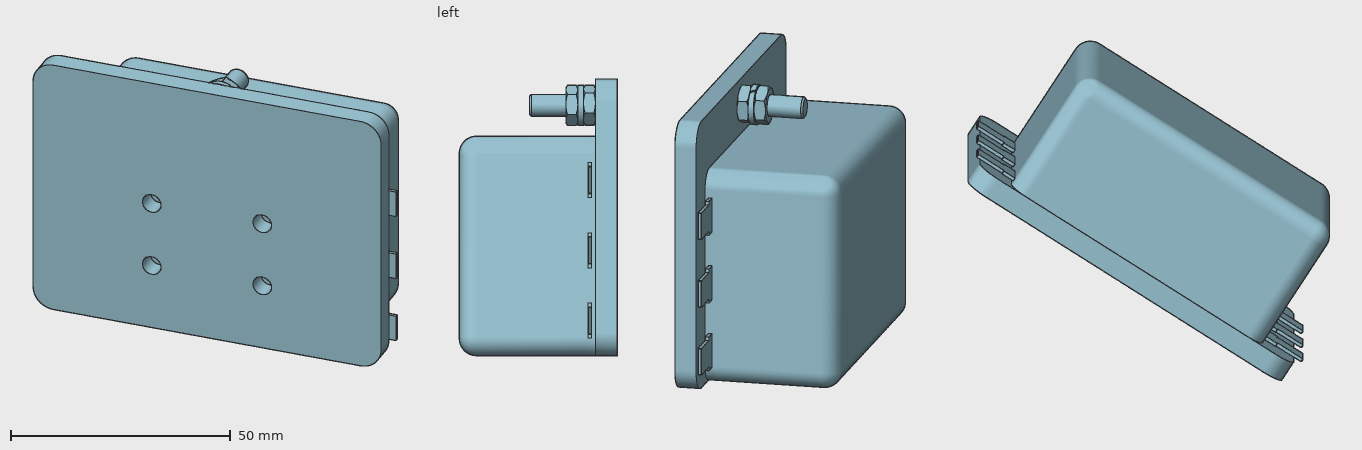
import cadquery as cq
import math


PLATE_WIDTH = 85.0
PLATE_HEIGHT = 63.0
PLATE_THICKNESS = 5.0
PLATE_CORNER_RADIUS = 5.0
HOLE_DIAMETER = 4.5
HOLE_SPACING_X = 27.0
HOLE_SPACING_Z = 16.0
HOLE_CENTER_Z = 24.0

STUD_DIAMETER = 5.0
STUD_TIP_DIAMETER = 4.13
STUD_LENGTH = 15.0
STUD_Z = 57.0

BOX_WIDTH = 68.0
BOX_HEIGHT = 50.0
BOX_DEPTH = 31.0
BOX_RADIUS = 4.0
BASE_DEPTH = 2.0
TERMINAL_SPAN = 88.0
SHOULDER_SPAN = 74.0
TERMINAL_WIDTH = 6.3
SHOULDER_WIDTH = 8.0
TERMINAL_THICKNESS = 0.8
TERMINAL_GAP = 0.83
TERMINAL_TIP_CHAMFER = 0.15
TERMINAL_PITCH = 16.0
TERMINAL_CENTER_Z = 24.0
TERMINAL_ROWS = (-1, 0, 1)

NUT_ACROSS_FLATS = 8.0
NUT_THICKNESS = 2.7
NUT_CHAMFER_ANGLE = 30.0
INNER_NUT_TURN = 8.0
OUTER_NUT_TURN = 2.5
WASHER_DIAMETER = 9.2
WASHER_THICKNESS = 1.3
WASHER_SLIT_WIDTH = 0.4
WASHER_SLIT_TURN = 34.0
WASHER_SLIT_LEAN = 20.0

PLATE_BACK = PLATE_THICKNESS
WASHER_FACE = PLATE_BACK + NUT_THICKNESS
OUTER_NUT_FACE = WASHER_FACE + WASHER_THICKNESS
NUT_CORNER_RADIUS = NUT_ACROSS_FLATS / math.sqrt(3)
NUT_CHAMFER_WIDTH = NUT_CORNER_RADIUS - NUT_ACROSS_FLATS / 2
NUT_CHAMFER_HEIGHT = NUT_CHAMFER_WIDTH * math.tan(math.radians(NUT_CHAMFER_ANGLE))


def block(width, depth, height, y_start, z_center):
    """Box centred on X, reaching from y_start towards +Y."""
    return cq.Workplane("XY").box(width, depth, height).translate((0, y_start + depth / 2, z_center))


def plane_at(y, z):
    """Plane facing +Y, with its local X along +X."""
    return cq.Plane(origin=(0, y, z), xDir=(1, 0, 0), normal=(0, 1, 0))


def make_plate():
    """Rounded plate with four through holes, and the chamfered stud standing on its back."""
    plate = block(PLATE_WIDTH, PLATE_THICKNESS, PLATE_HEIGHT, 0, PLATE_HEIGHT / 2)
    plate = plate.edges("|Y").fillet(PLATE_CORNER_RADIUS)
    holes = (
        cq.Workplane(plane_at(0, HOLE_CENTER_Z))
        .rarray(HOLE_SPACING_X, HOLE_SPACING_Z, 2, 2)
        .circle(HOLE_DIAMETER / 2)
        .extrude(PLATE_THICKNESS)
    )
    stud = cq.Workplane(plane_at(PLATE_BACK, STUD_Z)).circle(STUD_DIAMETER / 2).extrude(STUD_LENGTH)
    stud = stud.faces(">Y").chamfer((STUD_DIAMETER - STUD_TIP_DIAMETER) / 2)
    return plate.cut(holes).union(stud)


def make_terminal_pair(z):
    """Shouldered flat strip across the box, ending in a blade tip on each side."""
    y_start = PLATE_BACK + TERMINAL_GAP
    blades = block(TERMINAL_SPAN, TERMINAL_THICKNESS, TERMINAL_WIDTH, y_start, z)
    blades = blades.faces("<X or >X").chamfer(TERMINAL_TIP_CHAMFER)
    shoulders = block(SHOULDER_SPAN, TERMINAL_THICKNESS, SHOULDER_WIDTH, y_start, z)
    return blades.union(shoulders)


def make_module():
    """Rounded box on a shallow base of the same outline, with three terminals on each side."""
    box = block(BOX_WIDTH, BOX_DEPTH, BOX_HEIGHT, PLATE_BACK, BOX_HEIGHT / 2)
    box = box.edges("|Y").fillet(BOX_RADIUS).faces(">Y").edges().fillet(BOX_RADIUS)
    base_space = block(BOX_WIDTH, BASE_DEPTH, BOX_HEIGHT, PLATE_BACK, BOX_HEIGHT / 2)
    base = box.intersect(base_space)
    for row in TERMINAL_ROWS:
        base = base.union(make_terminal_pair(TERMINAL_CENTER_Z + row * TERMINAL_PITCH))
    return box.cut(base_space).union(base, clean=False)


def make_nut(y_start, turn):
    """Hexagon nut, chamfered on both faces; turn is the angle of its top corner from +Z towards +X."""
    hexagon = (
        cq.Workplane(plane_at(y_start, STUD_Z))
        .transformed(rotate=(0, 0, 90 + turn))
        .polygon(6, 2 * NUT_CORNER_RADIUS)
        .extrude(NUT_THICKNESS)
    )
    envelope = (
        cq.Workplane(plane_at(y_start, STUD_Z))
        .circle(NUT_CORNER_RADIUS)
        .extrude(NUT_THICKNESS)
        .faces("<Y or >Y")
        .chamfer(NUT_CHAMFER_HEIGHT, NUT_CHAMFER_WIDTH)
    )
    bore = cq.Workplane(plane_at(y_start, STUD_Z)).circle(STUD_DIAMETER / 2).extrude(NUT_THICKNESS)
    return hexagon.intersect(envelope).cut(bore)


def make_washer():
    """Lock washer: a ring cut through at one side by a leaning slit."""
    ring = (
        cq.Workplane(plane_at(WASHER_FACE, STUD_Z))
        .circle(WASHER_DIAMETER / 2)
        .circle(STUD_DIAMETER / 2)
        .extrude(WASHER_THICKNESS)
    )
    axis_point = (0, 0, STUD_Z)
    slit = (
        cq.Workplane("XY")
        .box(WASHER_SLIT_WIDTH, 2 * WASHER_THICKNESS, WASHER_DIAMETER / 2)
        .rotate((0, 0, 0), (0, 0, 1), WASHER_SLIT_LEAN)
        .translate((0, WASHER_FACE + WASHER_THICKNESS / 2, STUD_Z + WASHER_DIAMETER / 2))
        .rotate(axis_point, (0, 1, STUD_Z), WASHER_SLIT_TURN)
    )
    return ring.cut(slit)


plate = make_plate()
module = make_module()
inner_nut = make_nut(PLATE_BACK, INNER_NUT_TURN)
washer = make_washer()
outer_nut = make_nut(OUTER_NUT_FACE, OUTER_NUT_TURN)

result = cq.Compound.makeCompound(
    [plate.val(), module.val(), inner_nut.val(), washer.val(), outer_nut.val()]
)